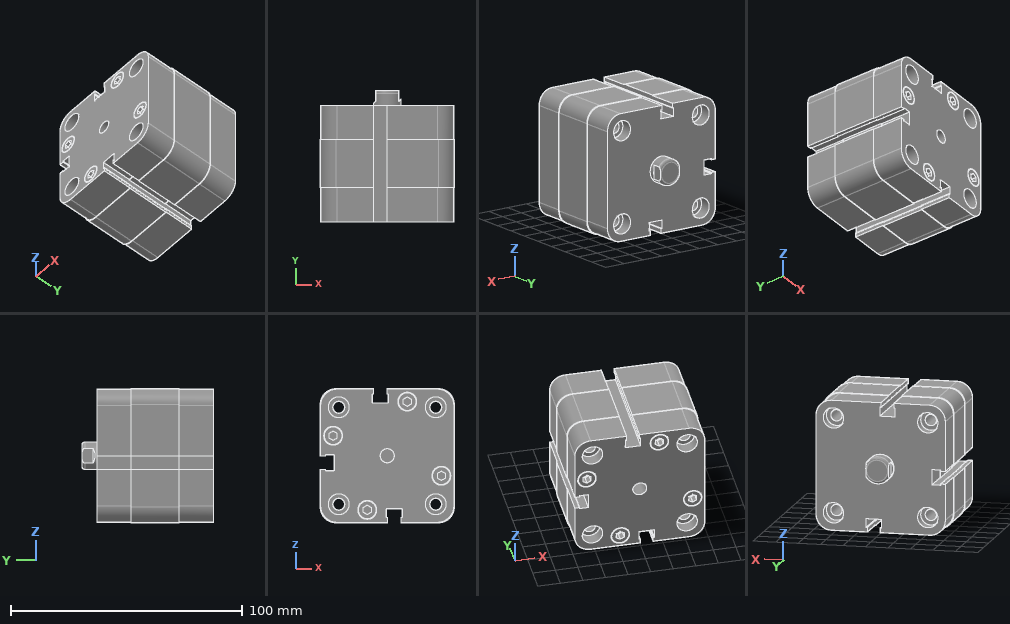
import cadquery as cq
import math

tube_width = 58.1
cap_width = 57.6
corner_radius = 7.0
cap_length = 14.9
tube_length = 20.8
body_length = 2 * cap_length + tube_length
total_length = 57.0
body_front = -total_length / 2
body_back = body_front + body_length

slot_offset = 3.0
slot_mouth_width = 5.7
slot_inner_width = 6.75
slot_lip_height = 26.65
slot_floor_height = 22.85
tube_slot_rise = (tube_width - cap_width) / 2

mount_position = 21.0
mount_hole_diameter = 5.0
counterbore_diameter = 9.0
counterbore_depth = 5.7

screw_along = 8.65
screw_out = 23.4
screw_recess_diameter = 8.15
screw_head_diameter = 7.65
screw_gap_depth = 6.0
socket_across_flats = 3.5
socket_across_corners = socket_across_flats / math.cos(math.radians(30))
socket_depth = 4.0

centre_hole_diameter = 6.1
centre_hole_depth = 10.0

rod_diameter = 11.95
rod_length = total_length - body_length
rod_tip_radius = 1.3
rod_across_flats = 10.1
flat_length = 4.75


def plane_facing_back(y):
    """Plane at the given y with its normal along +Y; local x points to -Z and local y to -X."""
    return cq.Workplane(cq.Plane(origin=(0, y, 0), xDir=(0, 0, -1), normal=(0, 1, 0)))


def rounded_block(width, start, length):
    block = plane_facing_back(start).rect(width, width).extrude(length)
    return block.edges("|Y").fillet(corner_radius)


def make_slot(start, length, rise=0.0):
    """Cutter for a slot in the top face; rise lifts its floor and lip."""
    open_top = tube_width
    floor = slot_floor_height + rise
    lip = slot_lip_height + rise
    mouth_half = slot_mouth_width / 2
    inner_half = slot_inner_width / 2
    section = [
        (open_top, -mouth_half), (lip, -mouth_half), (lip, -inner_half), (floor, -inner_half),
        (floor, inner_half), (lip, inner_half), (lip, mouth_half), (open_top, mouth_half),
    ]
    points = [(-height, slot_offset + across) for height, across in section]
    return plane_facing_back(start).polyline(points).close().extrude(length)


def make_section(width, start, length, side_slot_rise=0.0):
    """One length of the body with its top, left and bottom slots."""
    section = rounded_block(width, start, length)
    section = section.cut(make_slot(start, length))
    side_slot = make_slot(start, length, side_slot_rise)
    for angle in (-90, -180):
        section = section.cut(side_slot.rotate((0, 0, 0), (0, 1, 0), angle))
    return section


def make_body():
    front_cap = make_section(cap_width, body_front, cap_length)
    tube = make_section(tube_width, body_front + cap_length, tube_length, tube_slot_rise)
    back_cap = make_section(cap_width, body_back - cap_length, cap_length)
    return front_cap.union(tube).union(back_cap)


def corner_cylinders(diameter, start, length):
    pitch = 2 * mount_position
    corners = plane_facing_back(start).rect(pitch, pitch, forConstruction=True).vertices()
    return corners.circle(diameter / 2).extrude(length)


def make_mount_holes():
    holes = corner_cylinders(mount_hole_diameter, body_front, body_length)
    front_bores = corner_cylinders(counterbore_diameter, body_front, counterbore_depth)
    back_bores = corner_cylinders(counterbore_diameter, body_back - counterbore_depth, counterbore_depth)
    return holes.union(front_bores).union(back_bores)


def make_screw_cuts():
    """Ring gaps and hexagon sockets, the four screws set a quarter turn apart about Y."""
    centres = [
        (-screw_out, -screw_along), (screw_along, -screw_out),
        (screw_out, screw_along), (-screw_along, screw_out),
    ]
    screws = plane_facing_back(body_front).pushPoints(centres)
    gaps = screws.circle(screw_recess_diameter / 2).extrude(screw_gap_depth)
    heads = screws.circle(screw_head_diameter / 2).extrude(screw_gap_depth)
    sockets = screws.polygon(6, socket_across_corners).extrude(socket_depth)
    return gaps.cut(heads).union(sockets)


def make_flat_cut(side, lean):
    """Cutter for one flat: side is the X sign, lean the Y direction of its 45 degree end face."""
    tip = body_back + rod_length
    end = tip - flat_length
    floor = rod_across_flats / 2
    outside = rod_diameter / 2
    end_at_outside = end + lean * (outside - floor)
    profile = [
        (side * floor, tip), (side * floor, end), (side * outside, end_at_outside), (side * outside, tip),
    ]
    return cq.Workplane("XY").polyline(profile).close().extrude(rod_diameter, both=True)


def make_rod():
    rod = plane_facing_back(body_back).circle(rod_diameter / 2).extrude(rod_length)
    rod = rod.faces(">Y").edges().fillet(rod_tip_radius)
    rod = rod.cut(make_flat_cut(side=-1, lean=-1))
    return rod.cut(make_flat_cut(side=1, lean=1))


centre_hole = plane_facing_back(body_front).circle(centre_hole_diameter / 2).extrude(centre_hole_depth)

body = make_body().cut(make_mount_holes()).cut(make_screw_cuts()).cut(centre_hole)
result = body.union(make_rod())